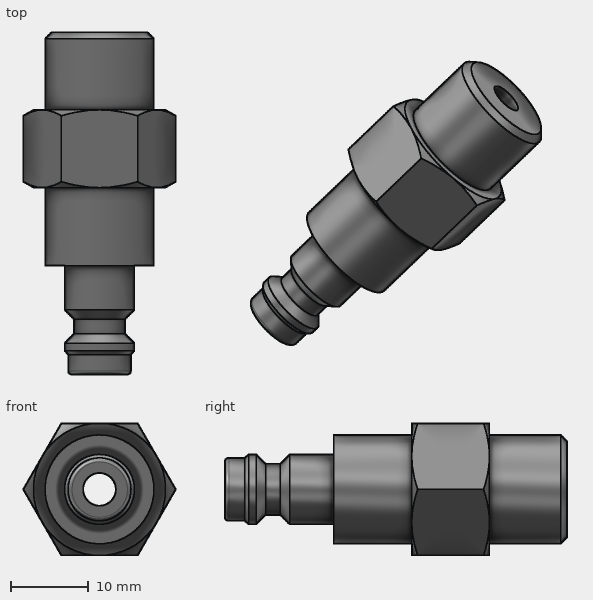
import cadquery as cq
import math

total_length = 44.0
bore_radius = 2.09

body_radius = 7.0
body_start = 14.0
rear_chamfer = 0.85

hex_across_flats = 17.0
hex_start = 24.02
hex_length = 10.0
hex_chamfer_angle = 30.0

plug_radius = 4.5
groove_radius = 3.3
nose_radius = 4.05
nose_fillet = 0.5
nose_length = 2.55
collar_start = 3.1
collar_end = 4.05
groove_floor_length = 1.9

groove_depth = plug_radius - groove_radius
groove_floor_start = collar_end + groove_depth
groove_floor_end = groove_floor_start + groove_floor_length
groove_end = groove_floor_end + groove_depth


def revolve_about_y(profile):
    return profile.close().revolve(360, (0, 0, 0), (0, 1, 0))


def make_turned_body():
    fillet_mid = nose_fillet * (1 - math.sqrt(0.5))
    profile = (
        cq.Workplane("XY")
        .lineTo(nose_radius - nose_fillet, 0)
        .threePointArc((nose_radius - fillet_mid, fillet_mid), (nose_radius, nose_fillet))
        .lineTo(nose_radius, nose_length)
        .lineTo(plug_radius, collar_start)
        .lineTo(plug_radius, collar_end)
        .lineTo(groove_radius, groove_floor_start)
        .lineTo(groove_radius, groove_floor_end)
        .lineTo(plug_radius, groove_end)
        .lineTo(plug_radius, body_start)
        .lineTo(body_radius, body_start)
        .lineTo(body_radius, total_length - rear_chamfer)
        .lineTo(body_radius - rear_chamfer, total_length)
        .lineTo(0, total_length)
    )
    return revolve_about_y(profile)


def make_hexagon():
    flat_radius = hex_across_flats / 2
    corner_radius = flat_radius / math.cos(math.radians(30))
    chamfer_length = (corner_radius - flat_radius) * math.tan(math.radians(hex_chamfer_angle))
    hex_end = hex_start + hex_length
    prism = (
        cq.Workplane("XZ", origin=(0, hex_start, 0))
        .polygon(6, 2 * corner_radius)
        .extrude(-hex_length)
    )
    envelope = revolve_about_y(
        cq.Workplane("XY")
        .moveTo(0, hex_start)
        .lineTo(flat_radius, hex_start)
        .lineTo(corner_radius, hex_start + chamfer_length)
        .lineTo(corner_radius, hex_end - chamfer_length)
        .lineTo(flat_radius, hex_end)
        .lineTo(0, hex_end)
    )
    return prism.intersect(envelope)


def make_bore():
    return cq.Workplane("XZ").circle(bore_radius).extrude(-total_length)


result = make_turned_body().union(make_hexagon()).cut(make_bore())